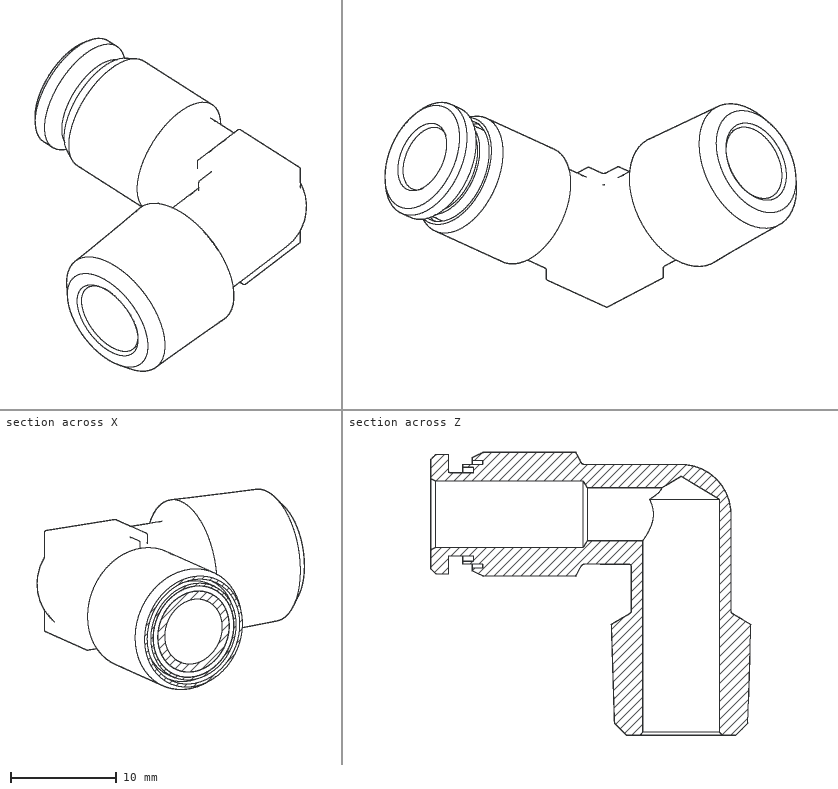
import cadquery as cq
import math


pipe_radius = 4.75
crease_fillet = 0.2

pad_half_width = 3.0
pad_reach = 5.0
pad_top = 5.0
pad_edge_fillet = 0.2
pad_foot_fillet = 0.2

tube_leg_length = 23.8
flange_radius = 5.7
flange_face_radius = 5.2
flange_chamfer_length = 0.5
flange_end = 1.7
neck_radius = 3.97
neck_fillet = 0.15
ring_start = 3.05
ring_radius = pipe_radius
ring_inner_radius = 4.45
sleeve_start = 3.95
sleeve_radius = 5.9
sleeve_front_radius = 5.4
sleeve_inner_radius = 5.1
clearance_depth = 1.0
sleeve_chamfer_end = 5.0
sleeve_straight_end = 13.8
sleeve_end = 14.4
sleeve_root_fillet = 0.3

thread_leg_length = 21.0
thread_large_radius = 6.64
thread_taper = 1 / 16
thread_chamfer = 1.15
thread_large_station = 10.55
thread_end = 11.65
thread_root_fillet = 0.25

tube_bore_radius = 3.15
tube_bore_depth = 14.5
tube_mouth_chamfer_width = 0.25
tube_mouth_chamfer_length = 0.45
passage_radius = 2.5
thread_bore_radius = 3.63
thread_bore_overrun = 1.42
thread_mouth_chamfer = 0.3
drill_half_angle = math.radians(59)


def revolve_leg(profile):
    """Revolve (station, radius) points about the X axis, the open end at X = 0."""
    return (
        cq.Workplane("XY")
        .polyline(profile)
        .close()
        .revolve(360, (0, 0, 0), (1, 0, 0))
    )


def place_tube_leg(shape):
    return shape.translate((-tube_leg_length, 0, 0))


def place_thread_leg(shape):
    return shape.rotate((0, 0, 0), (0, 0, 1), 90).translate((0, -thread_leg_length, 0))


def circle_at(station, radius):
    """Selector for the circular edge with the given station and radius."""
    tolerance = 0.01
    reach = radius + tolerance
    return cq.selectors.BoxSelector(
        (station - tolerance, -reach, -reach),
        (station + tolerance, reach, reach),
        boundingbox=True,
    )


def make_tube_leg():
    profile = [
        (0, 0),
        (0, flange_face_radius),
        (flange_chamfer_length, flange_radius),
        (flange_end, flange_radius),
        (flange_end, neck_radius),
        (ring_start + clearance_depth, neck_radius),
        (ring_start + clearance_depth, ring_inner_radius),
        (ring_start, ring_inner_radius),
        (ring_start, ring_radius),
        (sleeve_start + clearance_depth, ring_radius),
        (sleeve_start + clearance_depth, sleeve_inner_radius),
        (sleeve_start, sleeve_inner_radius),
        (sleeve_start, sleeve_front_radius),
        (sleeve_chamfer_end, sleeve_radius),
        (sleeve_straight_end, sleeve_radius),
        (sleeve_end, pipe_radius),
        (tube_leg_length, pipe_radius),
        (tube_leg_length, 0),
    ]
    leg = revolve_leg(profile)
    leg = leg.edges(circle_at(flange_end, neck_radius)).fillet(neck_fillet)
    leg = leg.edges(circle_at(sleeve_end, pipe_radius)).fillet(sleeve_root_fillet)
    return place_tube_leg(leg)


def make_thread_leg():
    taper_length = thread_large_station - thread_chamfer
    small_radius = thread_large_radius - taper_length * thread_taper / 2
    profile = [
        (0, 0),
        (0, small_radius - thread_chamfer),
        (thread_chamfer, small_radius),
        (thread_large_station, thread_large_radius),
        (thread_end, pipe_radius),
        (thread_leg_length, pipe_radius),
        (thread_leg_length, 0),
    ]
    leg = revolve_leg(profile)
    leg = leg.edges(circle_at(thread_end, pipe_radius)).fillet(thread_root_fillet)
    return place_thread_leg(leg)


def make_pads():
    """One L-shaped block through the elbow whose two ends stand out as pads."""
    outline = [
        (pad_half_width, pad_half_width),
        (-pad_reach, pad_half_width),
        (-pad_reach, -pad_half_width),
        (-pad_half_width, -pad_half_width),
        (-pad_half_width, -pad_reach),
        (pad_half_width, -pad_reach),
    ]
    block = cq.Workplane("XY").polyline(outline).close().extrude(pad_top, both=True)
    block = block.edges("|Z").fillet(pad_edge_fillet)
    return block.faces("<Z or >Z").edges().fillet(pad_edge_fillet)


def make_tube_bore():
    step_length = (tube_bore_radius - passage_radius) / math.tan(drill_half_angle)
    profile = [
        (0, 0),
        (0, tube_bore_radius + tube_mouth_chamfer_width),
        (tube_mouth_chamfer_length, tube_bore_radius),
        (tube_bore_depth, tube_bore_radius),
        (tube_bore_depth + step_length, passage_radius),
        (tube_leg_length, passage_radius),
        (tube_leg_length, 0),
    ]
    return place_tube_leg(revolve_leg(profile))


def make_thread_bore():
    bore_depth = thread_leg_length + thread_bore_overrun
    drill_tip_length = thread_bore_radius / math.tan(drill_half_angle)
    profile = [
        (0, 0),
        (0, thread_bore_radius + thread_mouth_chamfer),
        (thread_mouth_chamfer, thread_bore_radius),
        (bore_depth, thread_bore_radius),
        (bore_depth + drill_tip_length, 0),
    ]
    return place_thread_leg(revolve_leg(profile))


def lies_on(edge, surface):
    """True if the middle of the edge lies on the outer surface of the given shape."""
    tolerance = 0.001
    middle = cq.Vertex.makeVertex(*edge.positionAt(0.5).toTuple())
    return surface.distance(middle) < tolerance


def make_elbow():
    """Join the solid legs at a spherical corner, add the pads and round the inside corners."""
    corner = cq.Workplane("XY").sphere(pipe_radius)
    bare_elbow = make_tube_leg().union(make_thread_leg()).union(corner)
    pads = make_pads()
    elbow = bare_elbow.union(pads)
    elbow = elbow.edges("%ELLIPSE").fillet(crease_fillet)

    pipe_surface = bare_elbow.shells().val()
    pad_surface = pads.shells().val()
    foot_edges = elbow.edges().filter(
        lambda edge: lies_on(edge, pipe_surface) and lies_on(edge, pad_surface)
    )
    return foot_edges.fillet(pad_foot_fillet)


result = make_elbow().cut(make_tube_bore()).cut(make_thread_bore())